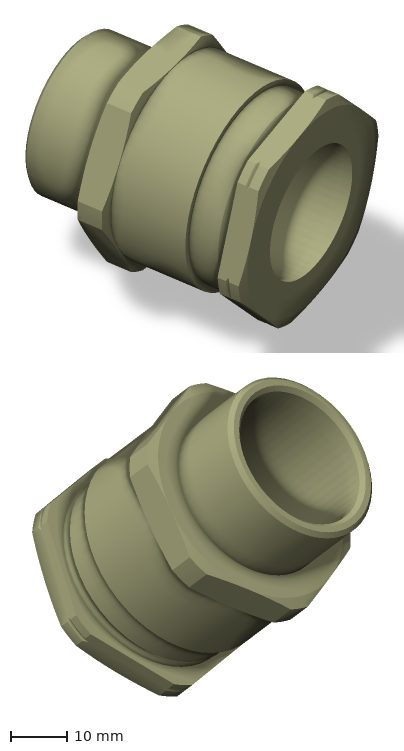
import cadquery as cq

total_length = 50.8
nut_start = 15.4
nut_end = 21.7
body_end = 37.5
collar_end = 44.7
cap_start = 45.75

bore_radius = 13.2
spigot_radius = 16.0
body_radius = 20.3
collar_radius = 19.05
edge_chamfer = 0.8
collar_chamfer = 1.1
seal_start = 44.95
seal_radius = 18.9
seal_bulge = 0.7

across_flats = 41.0
corner_radius = 22.53
face_radius = across_flats / 2
corner_bevel = 0.55
cap_turn = 10.0

groove_x = 47.9
groove_width = 0.8
groove_depth = 0.33


def cylinder(start, end, radius):
    return cq.Workplane("YZ", origin=(start, 0, 0)).circle(radius).extrude(end - start)


def revolve_profile(profile):
    return profile.close().revolve(360, (0, 0, 0), (1, 0, 0))


def hexagon(start, end, bevel_start):
    """Hexagon with flats at top and bottom, corners turned round and bevelled."""
    prism = (
        cq.Workplane("YZ", origin=(start, 0, 0))
        .polygon(6, across_flats, circumscribed=True)
        .extrude(end - start)
        .rotate((0, 0, 0), (1, 0, 0), 30)
    )
    envelope = cq.Workplane("XY").moveTo(start, 0)
    if bevel_start:
        envelope = envelope.lineTo(start, face_radius).lineTo(start + corner_bevel, corner_radius)
    else:
        envelope = envelope.lineTo(start, corner_radius)
    envelope = envelope.lineTo(end - corner_bevel, corner_radius).lineTo(end, face_radius).lineTo(end, 0)
    return prism.intersect(revolve_profile(envelope))


def marking_groove():
    """V-shaped ring, which cuts only the corners reaching beyond its root."""
    half_width = groove_width / 2
    ring = (
        cq.Workplane("XY")
        .moveTo(groove_x, corner_radius - groove_depth)
        .lineTo(groove_x + half_width, corner_radius)
        .lineTo(groove_x + half_width, corner_radius + groove_depth)
        .lineTo(groove_x - half_width, corner_radius + groove_depth)
        .lineTo(groove_x - half_width, corner_radius)
    )
    return revolve_profile(ring)


def seal():
    """Neck behind the collar, flaring in a convex round up to the cap."""
    root_radius = collar_radius - collar_chamfer
    arc_x = cap_start - seal_bulge * (cap_start - seal_start)
    arc_radius = root_radius + seal_bulge * (seal_radius - root_radius)
    flank = (
        cq.Workplane("XY")
        .moveTo(collar_end, 0)
        .lineTo(collar_end, root_radius)
        .lineTo(seal_start, root_radius)
        .threePointArc((arc_x, arc_radius), (cap_start, seal_radius))
        .lineTo(cap_start, 0)
    )
    return revolve_profile(flank)


spigot = cylinder(0, nut_start, spigot_radius).faces("<X").chamfer(edge_chamfer)
nut = hexagon(nut_start, nut_end, bevel_start=True)
body = cylinder(nut_end, body_end, body_radius)
collar = cylinder(body_end, collar_end, collar_radius).faces(">X").chamfer(collar_chamfer)
cap = hexagon(cap_start, total_length, bevel_start=False)
cap = cap.cut(marking_groove()).rotate((0, 0, 0), (1, 0, 0), cap_turn)

solid = spigot.union(nut).union(body).union(collar).union(seal()).union(cap)
bored = solid.cut(cylinder(0, total_length, bore_radius))

bore_rim = cq.selectors.RadiusNthSelector(0)
result = bored.faces("<X").edges(bore_rim).chamfer(edge_chamfer)